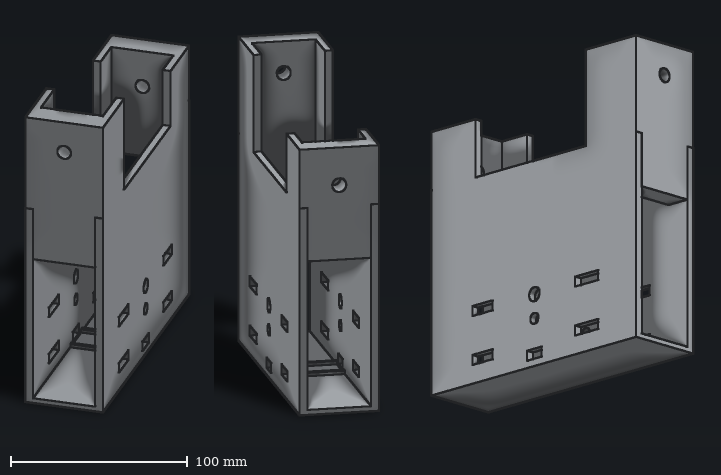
import cadquery as cq

width = 46.0
length = 163.0
front_height = 178.4
back_height = 156.0

side_wall = 4.6
front_wall = 15.2
back_wall = 15.3
floor_thickness = 3.0
inner_width = width - 2 * side_wall

notch_bottom = 121.5
front_post_length = 40.1
back_post_length = 35.3
end_wall_bottom = 90.1

rib_height = 2.0
ribs = [(71.2, 2.0), (91.9, 2.7)]

end_relief = 0.2

end_hole_diameter = 8.0
front_hole_z = 159.7
back_hole_z = 133.8

side_centre_y = 81.0
side_holes = [(42.5, 8.2), (28.2, 6.5)]
slot_height = 5.9
slot_columns = [(39.5, 18.2), (122.2, 15.9)]
slot_rows = [43.0, 14.1]
strap_slot_length = 11.6
strap_slot_z = 7.3


def box(size_x, y_start, y_end, z_start, z_end):
    """Box centred on X = 0 between the given Y and Z limits."""
    return (
        cq.Workplane("XY")
        .box(size_x, y_end - y_start, z_end - z_start, centered=(True, False, False))
        .translate((0, y_start, z_start))
    )


def side_slot(centre_y, centre_z, slot_length):
    """Rectangular cutter passing through both side walls."""
    return (
        cq.Workplane("XY")
        .box(width, slot_length, slot_height)
        .translate((0, centre_y, centre_z))
    )


def side_hole(centre_z, diameter):
    """Round cutter passing through both side walls."""
    return (
        cq.Workplane("YZ")
        .center(side_centre_y, centre_z)
        .circle(diameter / 2)
        .extrude(width / 2, both=True)
    )


def end_hole(y_start, centre_z, depth):
    """Round cutter along Y, starting at y_start."""
    return (
        cq.Workplane("XZ", origin=(0, y_start, centre_z))
        .circle(end_hole_diameter / 2)
        .extrude(-depth)
    )


body = (
    cq.Workplane("YZ")
    .polyline([
        (0, 0),
        (length, 0),
        (length, back_height),
        (length - back_post_length, back_height),
        (length - back_post_length, notch_bottom),
        (front_post_length, notch_bottom),
        (front_post_length, front_height),
        (0, front_height),
    ])
    .close()
    .extrude(width / 2, both=True)
)

body = body.cut(box(inner_width, front_wall, length - back_wall, floor_thickness, front_height))
body = body.cut(box(inner_width, 0, length, floor_thickness, end_wall_bottom))

for relief_start in (0, length - end_relief):
    relief_end = relief_start + end_relief
    body = body.cut(box(inner_width, relief_start, relief_end, end_wall_bottom, notch_bottom))
    body = body.cut(box(width, relief_start, relief_end, notch_bottom, front_height))

for rib_y, rib_thickness in ribs:
    rib_start = rib_y - rib_thickness / 2
    body = body.union(
        box(inner_width, rib_start, rib_start + rib_thickness, floor_thickness, floor_thickness + rib_height)
    )

body = body.cut(end_hole(0, front_hole_z, front_wall))
body = body.cut(end_hole(length - back_wall, back_hole_z, back_wall))

for hole_z, hole_diameter in side_holes:
    body = body.cut(side_hole(hole_z, hole_diameter))
for slot_y, slot_length in slot_columns:
    for slot_z in slot_rows:
        body = body.cut(side_slot(slot_y, slot_z, slot_length))
body = body.cut(side_slot(side_centre_y, strap_slot_z, strap_slot_length))

result = body